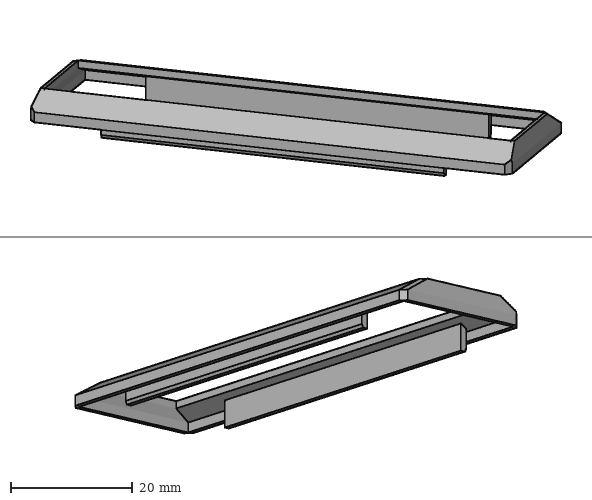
import cadquery as cq

length = 84.5
width = 25.4
rim_height = 1.8
slope_height = 2.95
bezel_height = rim_height + slope_height

end_slope_run = 0.7
front_slope_run = 3.9
back_slope_run = 4.9

end_ledge = 0.7
back_ledge = 0.5
end_border = end_slope_run + end_ledge
front_border = front_slope_run
back_border = back_slope_run + back_ledge

corner_chamfer = 1.0
hip_chamfer_on_end = 0.5
hip_chamfer_on_back = 1.0
selection_margin = 0.1

wall = 0.9
cavity_wall_height = 1.7
lip_bottom = 3.5

rib_length = 60.2
rib_inset = 1.4
rib_thickness = 1.2
rib_drop = 1.95
rib_bevel_height = 0.6
rib_bevel_width = 0.25
rib_root_outer = 2.45
rib_root_inner = 2.9


def inset_rectangle(plane_height, end, front, back):
    """Workplane rectangle set in from the bezel outline on each side."""
    plane = cq.Workplane("XY", origin=(0, (front - back) / 2, plane_height))
    return plane.rect(length - 2 * end, width - front - back)


def loft_rectangles(lower, upper):
    """Ruled solid between two rectangles, each given as inset_rectangle arguments."""
    wires = [inset_rectangle(*section).val() for section in (lower, upper)]
    return cq.Workplane(cq.Solid.makeLoft(wires, True))


def outer_body():
    rim = inset_rectangle(0, 0, 0, 0).extrude(rim_height)
    slopes = loft_rectangles(
        (rim_height, 0, 0, 0),
        (bezel_height, end_slope_run, front_slope_run, back_slope_run),
    )
    body = rim.union(slopes)
    back_hips = cq.selectors.BoxSelector(
        (-length, 0, rim_height + selection_margin),
        (length, width, bezel_height - selection_margin),
    )
    return body.edges(back_hips).chamfer(hip_chamfer_on_end, hip_chamfer_on_back)


def build_rib():
    """Rib on the back side, bevelled along its lower outer edge."""
    outer = width / 2 - rib_inset
    inner = outer - rib_thickness
    profile = [
        (inner, -rib_drop),
        (outer - rib_bevel_width, -rib_drop),
        (outer, rib_bevel_height - rib_drop),
        (outer, rib_root_outer),
        (inner, rib_root_inner),
    ]
    return cq.Workplane("YZ").polyline(profile).close().extrude(rib_length / 2, both=True)


def build_part():
    opening = inset_rectangle(0, end_border, front_border, back_border).extrude(bezel_height)
    cavity = inset_rectangle(0, wall, wall, wall).extrude(cavity_wall_height)
    ceiling = loft_rectangles(
        (cavity_wall_height, wall, wall, wall),
        (lip_bottom, end_border, front_border, back_border),
    )
    corners = cq.Workplane("XY").rect(length, width).extrude(bezel_height)
    corners = corners.edges("|Z").chamfer(corner_chamfer)
    bezel = outer_body().intersect(corners).cut(opening).cut(cavity).cut(ceiling)
    rib = build_rib()
    return bezel.union(rib).union(rib.mirror("XZ"))


result = build_part()